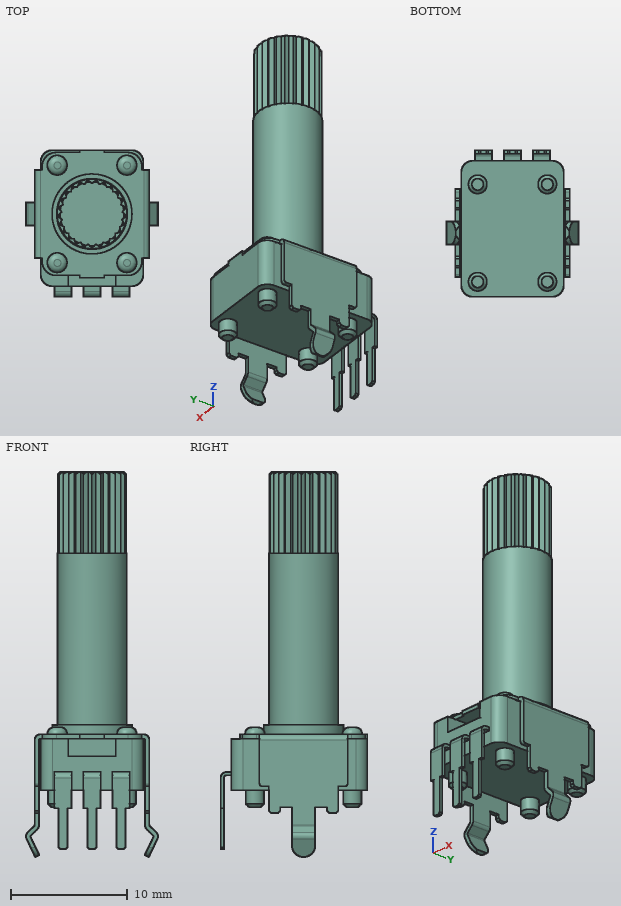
import cadquery as cq
import math


sheet = 0.4
plate_half_width = 4.3
plate_half_length = 5.3
plate_corner_radius = 1.2
edge_tab_width = 2.1
edge_tab_reach = 0.2
flange_outer_x = 4.95
flange_overlap = 0.8
flange_half_length = 3.8
bend_radius = 0.3
flange_bottom = -4.5
flange_corner_radius = 0.25
skirt_half_length = 3.0
foot_bottom = -6.8
foot_width = 1.0
foot_chamfer = 0.2
notch_top = -6.3
corner_tolerance = 0.001

snap_half_width = 1.0
snap_start = -7.95
snap_elbow_x = 5.56
snap_elbow_z = -8.75
snap_tip_x = 4.72
snap_tip_z = -10.5
snap_bottom = -10.6
snap_tip_rise = 0.85

body_width = 8.85
body_back = plate_half_length + edge_tab_reach
body_front = -6.24
body_bottom = -4.85
body_corner_radius = 1.0
window_width = 4.1
window_floor = -1.9
window_depth = 2.5

rivet_x = 3.0
rivet_y = 4.2
rivet_diameter = 1.6
rivet_head_diameter = 1.7
rivet_head_height = 0.6
rivet_head_round = 0.55
rivet_bottom = -6.3
rivet_chamfer = 0.3

pin_pitch = 2.5
pin_sheet = 0.3
pin_outer_y = -7.15
pin_top = -3.25
pin_bend_radius = 0.35
pin_wide = 1.5
pin_narrow = 0.8
pin_step = -6.4
pin_bottom = -9.9
pin_tip_chamfer = 0.15
pin_embed = 0.5

collar_diameter = 6.9
collar_height = 0.8
collar_bore = 6.1
shaft_diameter = 6.0
shaft_shoulder = 15.6
shaft_top = 22.6
knurl_diameter = 5.9
knurl_root_diameter = 5.25
knurl_teeth = 25
knurl_chamfer = 0.2


def block(x_min, x_max, y_min, y_max, z_min, z_max):
    """Box given by its limits along each axis."""
    size = (x_max - x_min, y_max - y_min, z_max - z_min)
    return cq.Workplane("XY").box(*size, centered=False).translate((x_min, y_min, z_min))


def bent_strip(points, radius, thickness, width):
    """Sheet strip swept along a polyline, given by its middle line, with rounded bends."""
    vectors = [cq.Vector(*point) for point in points]
    path = cq.Wire.makePolygon(vectors).fillet(radius)
    run = vectors[1] - vectors[0]
    across = cq.Vector(0, 1, 0) if run.y == 0 else cq.Vector(1, 0, 0)
    section = cq.Plane(origin=vectors[0], xDir=across, normal=run)
    return cq.Workplane(section).rect(width, thickness).sweep(cq.Workplane(path))


def make_body():
    """Rounded block with a window open to the front and top."""
    length = body_back - body_front
    middle_y = (body_back + body_front) / 2
    body = (
        cq.Workplane("XY", origin=(0, middle_y, body_bottom))
        .rect(body_width, length)
        .extrude(-sheet - body_bottom)
        .edges("|Z")
        .fillet(body_corner_radius)
    )
    half = window_width / 2
    window = block(-half, half, body_front, body_front + window_depth, window_floor, -sheet)
    return body.cut(window)


def make_plate():
    """Cover plate with a short tab on the front and back edges."""
    plate = (
        cq.Workplane("XY", origin=(0, 0, -sheet))
        .rect(2 * plate_half_width, 2 * plate_half_length)
        .extrude(sheet)
        .edges("|Z")
        .fillet(plate_corner_radius)
    )
    half = edge_tab_width / 2
    reach = plate_half_length + edge_tab_reach
    tabs = block(-half, half, -reach, reach, -sheet, 0)
    return plate.union(tabs)


def corner_edges(solid, y, z):
    """Edges along X at height z, at both +y and -y."""

    def at_corner(edge):
        center = edge.Center()
        return math.hypot(abs(center.y) - y, center.z - z) < corner_tolerance

    return solid.edges("|X").filter(at_corner)


def flange_silhouette():
    """Solid with the flange outline in Y and Z, which trims the bent strip."""
    y_foot = skirt_half_length - foot_width
    half = [
        (flange_half_length, 0),
        (flange_half_length, flange_bottom),
        (skirt_half_length, flange_bottom),
        (skirt_half_length, foot_bottom),
        (y_foot, foot_bottom),
        (y_foot, notch_top),
    ]
    mirrored = [(-y, z) for y, z in reversed(half)]
    depth = 2 * flange_outer_x
    skirt = cq.Workplane("YZ").polyline(half + mirrored).close().extrude(depth)

    skirt = corner_edges(skirt, flange_half_length, flange_bottom).fillet(flange_corner_radius)
    for y in (skirt_half_length, y_foot):
        skirt = corner_edges(skirt, y, foot_bottom).chamfer(foot_chamfer)
    shoulder = snap_bottom + snap_tip_rise
    snap = (
        cq.Workplane("YZ")
        .moveTo(-snap_half_width, notch_top)
        .lineTo(-snap_half_width, shoulder)
        .threePointArc((0, snap_bottom), (snap_half_width, shoulder))
        .lineTo(snap_half_width, notch_top)
        .close()
        .extrude(depth)
    )
    return skirt.union(snap)


def make_flange():
    """Flange on the +X side with its feet and snap tab."""
    middle_x = flange_outer_x - sheet / 2
    middle_line = [
        (plate_half_width - flange_overlap, 0, -sheet / 2),
        (middle_x, 0, -sheet / 2),
        (middle_x, 0, snap_start),
        (snap_elbow_x, 0, snap_elbow_z),
        (snap_tip_x, 0, snap_tip_z),
    ]
    strip = bent_strip(middle_line, bend_radius, sheet, 2 * flange_half_length)
    return strip.intersect(flange_silhouette())


def make_rivet():
    """Rivet with a domed head on the plate and a chamfered end below the body."""
    shank = (
        cq.Workplane("XY", origin=(0, 0, rivet_bottom))
        .circle(rivet_diameter / 2)
        .extrude(-rivet_bottom)
        .faces("<Z")
        .chamfer(rivet_chamfer)
    )
    head = (
        cq.Workplane("XY")
        .circle(rivet_head_diameter / 2)
        .extrude(rivet_head_height)
        .faces(">Z")
        .edges()
        .fillet(rivet_head_round)
    )
    return shank.union(head)


def make_pin():
    """Terminal bent down from the body front, with a narrower lower half."""
    middle_y = pin_outer_y + pin_sheet / 2
    middle_z = pin_top - pin_sheet / 2
    middle_line = [
        (0, body_front + pin_embed, middle_z),
        (0, middle_y, middle_z),
        (0, middle_y, pin_bottom),
    ]
    strip = bent_strip(middle_line, pin_bend_radius, pin_sheet, pin_wide)
    y_limits = (pin_outer_y, body_front + pin_embed)
    upper = block(-pin_wide / 2, pin_wide / 2, *y_limits, pin_step, pin_top)
    lower = block(-pin_narrow / 2, pin_narrow / 2, *y_limits, pin_bottom, pin_step)
    lower = lower.faces("<Z").edges("|Y").chamfer(pin_tip_chamfer)
    return strip.intersect(upper.union(lower))


def make_shaft():
    """Shaft with a V-toothed knurl, standing in the collar with a thin gap around it."""
    collar = cq.Workplane("XY").circle(collar_diameter / 2).extrude(collar_height)
    collar = collar.cut(cq.Workplane("XY").circle(collar_bore / 2).extrude(collar_height))
    shank = cq.Workplane("XY").circle(shaft_diameter / 2).extrude(shaft_shoulder)
    outline = []
    for step in range(2 * knurl_teeth):
        diameter = knurl_root_diameter if step % 2 else knurl_diameter
        angle = step * math.pi / knurl_teeth - math.pi / 2
        outline.append((diameter / 2 * math.cos(angle), diameter / 2 * math.sin(angle)))
    knurl_base = cq.Workplane("XY", origin=(0, 0, shaft_shoulder))
    knurl_height = shaft_top - shaft_shoulder
    knurl = knurl_base.polyline(outline).close().extrude(knurl_height)
    envelope = knurl_base.circle(knurl_diameter / 2).extrude(knurl_height)
    envelope = envelope.faces(">Z").chamfer(knurl_chamfer)
    return collar.union(shank).union(knurl.intersect(envelope))


flange = make_flange()
rivet = make_rivet()
pin = make_pin()

result = make_body().union(make_plate()).union(flange).union(flange.mirror("YZ"))
for x in (-rivet_x, rivet_x):
    for y in (-rivet_y, rivet_y):
        result = result.union(rivet.translate((x, y, 0)))
for x in (-pin_pitch, 0, pin_pitch):
    result = result.union(pin.translate((x, 0, 0)))
result = result.union(make_shaft())